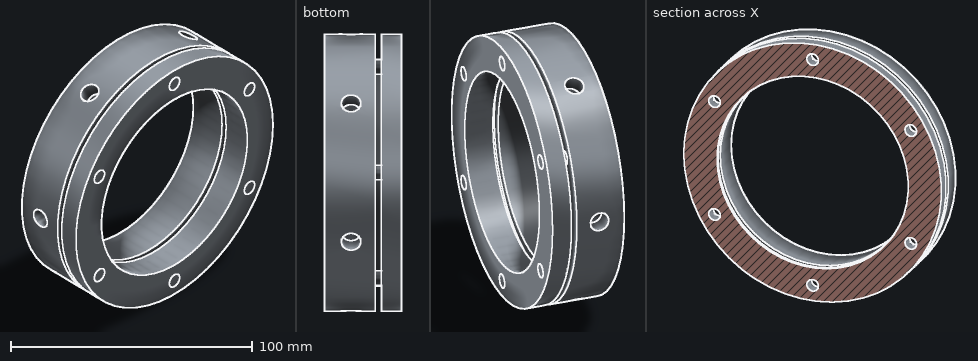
import cadquery as cq
import math

OUTER_DIAMETER = 115.0
BORE_DIAMETER = 85.0
TOTAL_WIDTH = 32.0

GROOVE_WIDTH = 2.4
GROOVE_FLOOR_DIAMETER = 94.1
OUTER_GROOVE_START = 21.2
BORE_GROOVE_START = 17.0

PIN_COUNT = 6
PIN_CIRCLE_DIAMETER = 101.0
PIN_DIAMETER = 6.0
PIN_LENGTH = TOTAL_WIDTH - OUTER_GROOVE_START
FRONT_HOLE_DIAMETER = 5.0

RADIAL_HOLE_DIAMETER = 8.0
RADIAL_HOLE_X = 11.0
RADIAL_HOLE_DEPTH = 8.0
DRILL_TIP_ANGLE = 118.0

PIN_PITCH_ANGLE = 360.0 / PIN_COUNT
PIN_ANGLES = [index * PIN_PITCH_ANGLE for index in range(PIN_COUNT)]
RADIAL_HOLE_ANGLES = [angle + PIN_PITCH_ANGLE / 2 for angle in PIN_ANGLES]


def turned_ring(start_x, width, outer_diameter, inner_diameter):
    """Plain ring around the X axis."""
    return (
        cq.Workplane("YZ", origin=(start_x, 0, 0))
        .circle(outer_diameter / 2)
        .circle(inner_diameter / 2)
        .extrude(width)
    )


def axial_cylinder(start_x, length, diameter, angle):
    """Cylinder parallel to X on the pin circle; the angle is measured about X from +Z."""
    cylinder = (
        cq.Workplane("YZ", origin=(start_x, 0, PIN_CIRCLE_DIAMETER / 2))
        .circle(diameter / 2)
        .extrude(length)
    )
    return cylinder.rotate((0, 0, 0), (1, 0, 0), angle)


def radial_drill(angle):
    """Drill shape entering from the rim: a cylinder ending in a cone that points at the X axis."""
    radius = RADIAL_HOLE_DIAMETER / 2
    rim_z = OUTER_DIAMETER / 2
    shoulder_z = rim_z - RADIAL_HOLE_DEPTH
    tip_length = radius / math.tan(math.radians(DRILL_TIP_ANGLE / 2))
    drill = (
        cq.Workplane("XZ", origin=(RADIAL_HOLE_X, 0, 0))
        .moveTo(0, rim_z)
        .lineTo(radius, rim_z)
        .lineTo(radius, shoulder_z)
        .lineTo(0, shoulder_z - tip_length)
        .close()
        .revolve(360, (0, 0, 0), (0, 1, 0))
    )
    return drill.rotate((0, 0, 0), (1, 0, 0), angle)


def build_pin(angle):
    """Pin from the front wall of the outer groove, through the rear flange, to the rear face."""
    return axial_cylinder(OUTER_GROOVE_START, PIN_LENGTH, PIN_DIAMETER, angle)


def build_housing():
    """Grooved ring with axial holes, pin seats and radial holes."""
    body = turned_ring(0, TOTAL_WIDTH, OUTER_DIAMETER, BORE_DIAMETER)
    body = body.cut(turned_ring(OUTER_GROOVE_START, GROOVE_WIDTH, OUTER_DIAMETER, GROOVE_FLOOR_DIAMETER))
    body = body.cut(turned_ring(BORE_GROOVE_START, GROOVE_WIDTH, GROOVE_FLOOR_DIAMETER, BORE_DIAMETER))
    for angle in PIN_ANGLES:
        body = body.cut(axial_cylinder(0, OUTER_GROOVE_START, FRONT_HOLE_DIAMETER, angle))
        body = body.cut(build_pin(angle))
    for angle in RADIAL_HOLE_ANGLES:
        body = body.cut(radial_drill(angle))
    return body


housing = build_housing()
pins = [build_pin(angle) for angle in PIN_ANGLES]

result = cq.Compound.makeCompound([housing.val(), *[pin.val() for pin in pins]])